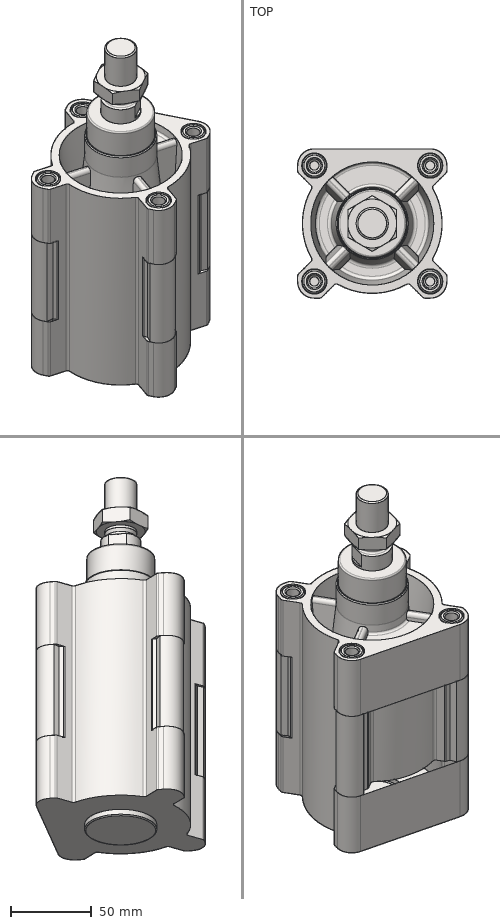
import cadquery as cq
import math

TOTAL_HEIGHT = 237.5
BOSS_HEIGHT = 4.0
CAP_HEIGHT = 43.0
TUBE_HEIGHT = 62.3
TUBE_BOTTOM = BOSS_HEIGHT + CAP_HEIGHT
TUBE_TOP = TUBE_BOTTOM + TUBE_HEIGHT
CAP_TOP = TUBE_TOP + CAP_HEIGHT

HALF_WIDTH = 93.0 / 2
BARREL_RADIUS = 43.5
EAR_RADIUS = 10.5
EAR_CENTRE = HALF_WIDTH - EAR_RADIUS
EAR_SLANT_OFFSET = 14.5
EAR_EDGE_ROUND = 2.0
EAR_ROOT_ROUND = 2.0
EAR_GROOVE_LIP = 27.3
EAR_GROOVE = [(EAR_GROOVE_LIP, EAR_GROOVE_LIP + EAR_SLANT_OFFSET), (28.3, 42.3), (31.0, 42.5), (33.5, 46.0)]

COLLAR_RADIUS = 45.0 / 2
COLLAR_STEP_Z = 168.5
COLLAR_EDGE = 0.7
NOSE_RADIUS = 42.3 / 2
NOSE_TOP = 186.8
NOSE_EDGE = 1.0

RECESS_RADIUS = 38.3
RECESS_DEPTH = 33.3
PORT_SIDE_DEPTH = 6.5
RECESS_DRAFT = 5.5
RECESS_FLOOR_ROUND = 2.4
PORT_SIDE_ROUND = 1.7
RIB_TOP_DROP = 1.5
RIB_TOP_WIDTH = 5.5
RIB_TOP_ROUND = 2.9

SCREW_BORE_RADIUS = 15.7 / 2
SCREW_HEAD_RADIUS = 15.0 / 2
SCREW_HEAD_EDGE = 1.0
SCREW_GAP_DEPTH = 2.4
SOCKET_RADIUS = 8.3 / 2
SOCKET_MOUTH_RADIUS = 5.0
SOCKET_FLOOR_RADIUS = 2.9
SOCKET_DEPTH = 14.3

ROD_RADIUS = 25.0 / 2
ROD_BOTTOM = TUBE_TOP
SHOULDER_TOP = 198.0
NECK_RADIUS = 18.3 / 2
NECK_TOP = 200.5
NECK_ROOT_ROUND = 1.2
THREAD_RADIUS = 20.0 / 2
THREAD_START = 203.0
TIP_RADIUS = 17.8 / 2
TIP_CHAMFER = 0.7
WRENCH_FLATS = 22.0
FLATS_BOTTOM = 188.5

NUT_ACROSS_FLATS = 30.0
NUT_BOTTOM = 204.5
NUT_HEIGHT = 10.0
NUT_FACE_RADIUS = 15.2
NUT_CORNER_DROP = 0.7

QUADRANTS = [0, 90, 180, 270]


def revolve_profile(points):
    """Solid of revolution about Z from (radius, z) points."""
    return cq.Workplane("XZ").polyline(points).close().revolve(360, (0, 0), (0, 1))


def barrel(bottom, height):
    return cq.Workplane("XY").workplane(offset=bottom).circle(BARREL_RADIUS).extrude(height)


def round_vertical_edges(body, spots, radius):
    """Fillet the vertical edges that stand at the given (x, y) spots."""
    tolerance = 0.2

    def at_spot(edge):
        centre = edge.Center()
        return any(math.hypot(centre.x - x, centre.y - y) < tolerance for x, y in spots)

    return body.edges("|Z").filter(at_spot).fillet(radius)


def ear_root():
    """Where a flank y = x + offset meets the barrel, as its smaller and larger coordinate."""
    half_offset = EAR_SLANT_OFFSET / 2
    reach = math.sqrt(BARREL_RADIUS**2 / 2 - half_offset**2)
    return reach - half_offset, reach + half_offset


def end_cap(bottom):
    """Barrel with four square ears and a straight wall across the +Y side."""
    edge = HALF_WIDTH - EAR_SLANT_OFFSET
    ear_points = [
        (0, EAR_SLANT_OFFSET),
        (edge, HALF_WIDTH),
        (HALF_WIDTH, HALF_WIDTH),
        (HALF_WIDTH, edge),
        (EAR_SLANT_OFFSET, 0),
    ]
    ear = cq.Workplane("XY").workplane(offset=bottom).polyline(ear_points).close().extrude(CAP_HEIGHT)
    cap = barrel(bottom, CAP_HEIGHT)
    for angle in QUADRANTS:
        cap = cap.union(ear.rotate((0, 0, 0), (0, 0, 1), angle))
    port_wall = (
        cq.Workplane("XY")
        .workplane(offset=bottom)
        .center(0, HALF_WIDTH / 2)
        .rect(2 * edge, HALF_WIDTH)
        .extrude(CAP_HEIGHT)
    )
    cap = cap.union(port_wall)

    signs = [(1, 1), (-1, 1), (-1, -1), (1, -1)]
    corners = [(sx * HALF_WIDTH, sy * HALF_WIDTH) for sx, sy in signs]
    side_edges = [(sx * HALF_WIDTH, sy * edge) for sx, sy in signs]
    side_edges += [(-edge, -HALF_WIDTH), (edge, -HALF_WIDTH)]

    near, far = ear_root()
    roots = [(sx * far, sy * near) for sx, sy in signs]
    roots += [(-near, -far), (near, -far)]

    cap = round_vertical_edges(cap, corners, EAR_RADIUS)
    cap = round_vertical_edges(cap, side_edges, EAR_EDGE_ROUND)
    return round_vertical_edges(cap, roots, EAR_ROOT_ROUND)


def tube():
    """Barrel with four round ears, each grooved on both flanks."""
    ear_tip = EAR_CENTRE + EAR_RADIUS / math.sqrt(2)
    mirrored_groove = [(y, x) for x, y in reversed(EAR_GROOVE)]
    ear = (
        cq.Workplane("XY")
        .workplane(offset=TUBE_BOTTOM)
        .polyline([(0, EAR_SLANT_OFFSET)] + EAR_GROOVE)
        .threePointArc((ear_tip, ear_tip), mirrored_groove[0])
        .polyline(mirrored_groove + [(EAR_SLANT_OFFSET, 0)])
        .close()
        .extrude(TUBE_HEIGHT)
    )
    body = barrel(TUBE_BOTTOM, TUBE_HEIGHT)
    for angle in QUADRANTS:
        body = body.union(ear.rotate((0, 0, 0), (0, 0, 1), angle))

    near, far = ear_root()
    roots = [(sx * a, sy * b) for sx in (1, -1) for sy in (1, -1) for a, b in ((near, far), (far, near))]
    return round_vertical_edges(body, roots, EAR_ROOT_ROUND)


def recess_ring():
    """Ring-shaped pocket with drafted walls and a rounded floor."""
    floor = CAP_TOP - RECESS_DEPTH
    taper = RECESS_DEPTH * math.tan(math.radians(RECESS_DRAFT))
    inner = COLLAR_RADIUS + taper
    outer = RECESS_RADIUS - taper
    ring = revolve_profile(
        [(COLLAR_RADIUS, CAP_TOP), (inner, floor), (outer, floor), (RECESS_RADIUS, CAP_TOP)]
    )
    return ring.faces("<Z").edges().fillet(RECESS_FLOOR_ROUND)


def port_side_step():
    """Raised floor between the two diagonals on the +Y side."""
    return (
        cq.Workplane("XY")
        .workplane(offset=TUBE_TOP)
        .polyline([(0, 0), (HALF_WIDTH, HALF_WIDTH), (-HALF_WIDTH, HALF_WIDTH)])
        .close()
        .extrude(CAP_HEIGHT - PORT_SIDE_DEPTH)
    )


def recess_rib():
    """Drafted radial rib with a rounded top, lying along +X."""
    top = CAP_TOP - RIB_TOP_DROP
    floor = CAP_TOP - RECESS_DEPTH
    half_top = RIB_TOP_WIDTH / 2
    half_floor = half_top + (top - floor) * math.tan(math.radians(RECESS_DRAFT))
    rib = (
        cq.Workplane("YZ")
        .polyline([(-half_floor, floor), (half_floor, floor), (half_top, top), (-half_top, top)])
        .close()
        .extrude(BARREL_RADIUS)
    )
    return rib.faces(">Z").edges("|X").fillet(RIB_TOP_ROUND)


def top_recess():
    """Cutter: deep on three quarters, shallow on the +Y quarter, split by four ribs."""
    cutter = recess_ring().cut(port_side_step())
    rib = recess_rib()
    for angle in QUADRANTS:
        cutter = cutter.cut(rib.rotate((0, 0, 0), (0, 0, 1), 45 + angle))
    floor_middle = (0, (COLLAR_RADIUS + RECESS_RADIUS) / 2, CAP_TOP - PORT_SIDE_DEPTH)
    port_side_floor = cutter.faces(cq.selectors.NearestToPointSelector(floor_middle))
    return port_side_floor.edges("%CIRCLE").fillet(PORT_SIDE_ROUND)


def screw_detail():
    """Cutter for one cap screw: gap around its head and the socket inside it."""
    gap = revolve_profile(
        [
            (SCREW_HEAD_RADIUS - SCREW_HEAD_EDGE, CAP_TOP),
            (SCREW_BORE_RADIUS, CAP_TOP),
            (SCREW_BORE_RADIUS, CAP_TOP - SCREW_GAP_DEPTH),
            (SCREW_HEAD_RADIUS, CAP_TOP - SCREW_GAP_DEPTH),
            (SCREW_HEAD_RADIUS, CAP_TOP - SCREW_HEAD_EDGE),
        ]
    )
    mouth = SOCKET_MOUTH_RADIUS - SOCKET_RADIUS
    taper = SOCKET_RADIUS - SOCKET_FLOOR_RADIUS
    socket = revolve_profile(
        [
            (0, CAP_TOP),
            (SOCKET_MOUTH_RADIUS, CAP_TOP),
            (SOCKET_RADIUS, CAP_TOP - mouth),
            (SOCKET_RADIUS, CAP_TOP - SOCKET_DEPTH + taper),
            (SOCKET_FLOOR_RADIUS, CAP_TOP - SOCKET_DEPTH),
            (0, CAP_TOP - SOCKET_DEPTH),
        ]
    )
    return gap.union(socket)


def bottom_boss():
    boss = cq.Workplane("XY").circle(COLLAR_RADIUS).extrude(BOSS_HEIGHT)
    return boss.faces("<Z").edges().chamfer(COLLAR_EDGE)


def bearing_collar():
    """Stepped collar standing on the top cap."""
    collar = cq.Workplane("XY").workplane(offset=TUBE_TOP).circle(COLLAR_RADIUS)
    collar = collar.extrude(COLLAR_STEP_Z - TUBE_TOP).faces(">Z").edges().chamfer(COLLAR_EDGE)
    nose = cq.Workplane("XY").workplane(offset=TUBE_TOP).circle(NOSE_RADIUS)
    nose = nose.extrude(NOSE_TOP - TUBE_TOP).faces(">Z").edges().fillet(NOSE_EDGE)
    return collar.union(nose)


def make_housing():
    body = tube().union(end_cap(BOSS_HEIGHT)).union(end_cap(TUBE_TOP))
    body = body.cut(top_recess())
    screw = screw_detail()
    for x in (-EAR_CENTRE, EAR_CENTRE):
        for y in (-EAR_CENTRE, EAR_CENTRE):
            body = body.cut(screw.translate((x, y, 0)))
    body = body.union(bottom_boss()).union(bearing_collar())
    rod_bore = cq.Workplane("XY").workplane(offset=ROD_BOTTOM).circle(ROD_RADIUS)
    return body.cut(rod_bore.extrude(NOSE_TOP - ROD_BOTTOM))


def make_rod():
    rod = revolve_profile(
        [
            (0, ROD_BOTTOM),
            (ROD_RADIUS, ROD_BOTTOM),
            (ROD_RADIUS, SHOULDER_TOP),
            (NECK_RADIUS, SHOULDER_TOP),
            (NECK_RADIUS, NECK_TOP),
            (THREAD_RADIUS, THREAD_START),
            (THREAD_RADIUS, TOTAL_HEIGHT - TIP_CHAMFER),
            (TIP_RADIUS, TOTAL_HEIGHT),
            (0, TOTAL_HEIGHT),
        ]
    )
    shoulder = rod.faces(cq.selectors.NearestToPointSelector((0, 0, SHOULDER_TOP)))
    rod = shoulder.edges(cq.selectors.RadiusNthSelector(0)).fillet(NECK_ROOT_ROUND)
    flat_height = SHOULDER_TOP - FLATS_BOTTOM
    for side in (-1, 1):
        flat = cq.Workplane("XY").rect(ROD_RADIUS, 2 * ROD_RADIUS).extrude(flat_height)
        rod = rod.cut(flat.translate((side * (WRENCH_FLATS + ROD_RADIUS) / 2, 0, FLATS_BOTTOM)))
    return rod


def make_nut():
    """Hexagon with flats on -X and +X, its corners rounded off at both ends."""
    corner_radius = NUT_ACROSS_FLATS / math.sqrt(3)
    nut_top = NUT_BOTTOM + NUT_HEIGHT
    hexagon = (
        cq.Workplane("XY")
        .workplane(offset=NUT_BOTTOM)
        .polygon(6, 2 * corner_radius)
        .extrude(NUT_HEIGHT)
        .rotate((0, 0, 0), (0, 0, 1), 30)
    )
    turned_shape = revolve_profile(
        [
            (0, NUT_BOTTOM),
            (NUT_FACE_RADIUS, NUT_BOTTOM),
            (corner_radius, NUT_BOTTOM + NUT_CORNER_DROP),
            (corner_radius, nut_top - NUT_CORNER_DROP),
            (NUT_FACE_RADIUS, nut_top),
            (0, nut_top),
        ]
    )
    bore = cq.Workplane("XY").workplane(offset=NUT_BOTTOM).circle(THREAD_RADIUS).extrude(NUT_HEIGHT)
    return hexagon.intersect(turned_shape).cut(bore)


housing = make_housing()
rod = make_rod()
nut = make_nut()

result = cq.Compound.makeCompound([housing.val(), rod.val(), nut.val()])